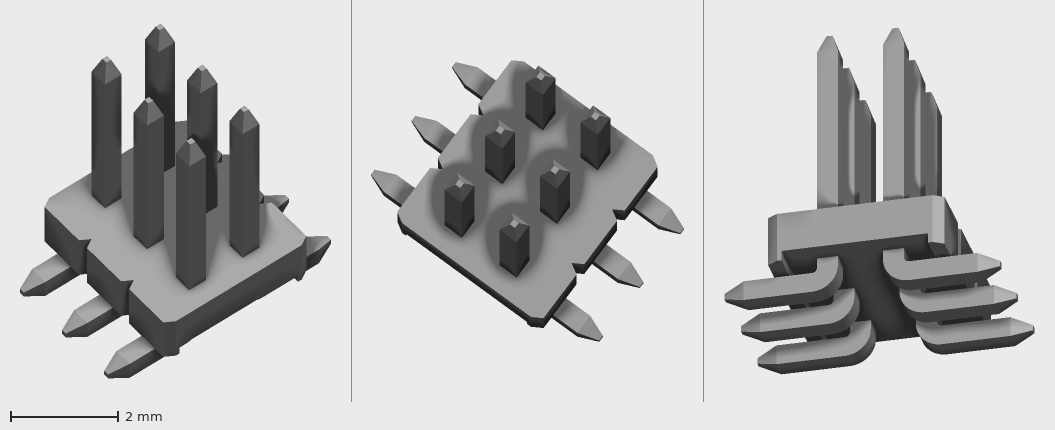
import cadquery as cq

COLUMNS = 3
PITCH = 1.27
PIN_WIDTH = 0.4
PIN_TOP = 5.5
LEG_SPAN = 5.3
BEND_INNER_RADIUS = 0.1
BEND_OUTER_RADIUS = BEND_INNER_RADIUS + PIN_WIDTH

TIP_LENGTH = 0.4
TIP_WIDTH = 0.115

BODY_LENGTH = 3.82
BODY_WIDTH = 3.4
BODY_BOTTOM = 0.5
BODY_TOP = 1.5
NOTCH_HALF_WIDTH = 0.12
NOTCH_DEPTH = 0.205

CHANNEL_TOP = 0.7
CHANNEL_WALL = 0.29

ROW_Y = PITCH / 2
COLUMN_XS = [(i - (COLUMNS - 1) / 2) * PITCH for i in range(COLUMNS)]


def notch(x, y):
    """Diamond prism that cuts a V into the body edge at y."""
    return (
        cq.Workplane("XY", origin=(x, y, BODY_BOTTOM))
        .polyline([
            (-NOTCH_HALF_WIDTH, 0),
            (0, -NOTCH_DEPTH),
            (NOTCH_HALF_WIDTH, 0),
            (0, NOTCH_DEPTH),
        ])
        .close()
        .extrude(BODY_TOP - BODY_BOTTOM)
    )


def make_body():
    """Block with V notches between columns, bevelled corners and an underside channel."""
    body = cq.Workplane("XY", origin=(0, 0, BODY_BOTTOM)).box(
        BODY_LENGTH, BODY_WIDTH, BODY_TOP - BODY_BOTTOM, centered=(True, True, False)
    )
    between_columns = [x + PITCH / 2 for x in COLUMN_XS[:-1]]
    notch_xs = [-BODY_LENGTH / 2, *between_columns, BODY_LENGTH / 2]
    for x in notch_xs:
        for y in (-BODY_WIDTH / 2, BODY_WIDTH / 2):
            body = body.cut(notch(x, y))

    channel = cq.Workplane("XY", origin=(0, 0, BODY_BOTTOM)).box(
        BODY_LENGTH,
        BODY_WIDTH - 2 * CHANNEL_WALL,
        CHANNEL_TOP - BODY_BOTTOM,
        centered=(True, True, False),
    )
    return body.cut(channel)


def make_tip(plane):
    """Four-sided taper that rises from the given plane."""
    return (
        cq.Workplane(plane)
        .rect(PIN_WIDTH, PIN_WIDTH)
        .workplane(offset=TIP_LENGTH)
        .rect(TIP_WIDTH, TIP_WIDTH)
        .loft(ruled=True)
    )


def make_pin():
    """Bent square pin at X = 0, with its post in the +Y row and its leg pointing to +Y."""
    inner_y = ROW_Y - PIN_WIDTH / 2
    outer_y = ROW_Y + PIN_WIDTH / 2
    leg_end = LEG_SPAN / 2 - TIP_LENGTH
    post_end = PIN_TOP - TIP_LENGTH
    bend_y = outer_y + BEND_INNER_RADIUS
    bend_z = BEND_OUTER_RADIUS

    shaft = (
        cq.Workplane("YZ")
        .moveTo(inner_y, post_end)
        .lineTo(inner_y, bend_z)
        .radiusArc((bend_y, 0), -BEND_OUTER_RADIUS)
        .lineTo(leg_end, 0)
        .lineTo(leg_end, PIN_WIDTH)
        .lineTo(bend_y, PIN_WIDTH)
        .radiusArc((outer_y, bend_z), BEND_INNER_RADIUS)
        .lineTo(outer_y, post_end)
        .close()
        .extrude(PIN_WIDTH / 2, both=True)
    )
    post_tip = make_tip(cq.Plane((0, ROW_Y, post_end), (1, 0, 0), (0, 0, 1)))
    leg_tip = make_tip(cq.Plane((0, leg_end, PIN_WIDTH / 2), (1, 0, 0), (0, 1, 0)))
    return shaft.union(post_tip).union(leg_tip)


back_pin = make_pin()
front_pin = back_pin.mirror("XZ")

result = make_body()
for column_x in COLUMN_XS:
    for pin in (back_pin, front_pin):
        result = result.union(pin.translate((column_x, 0, 0)))